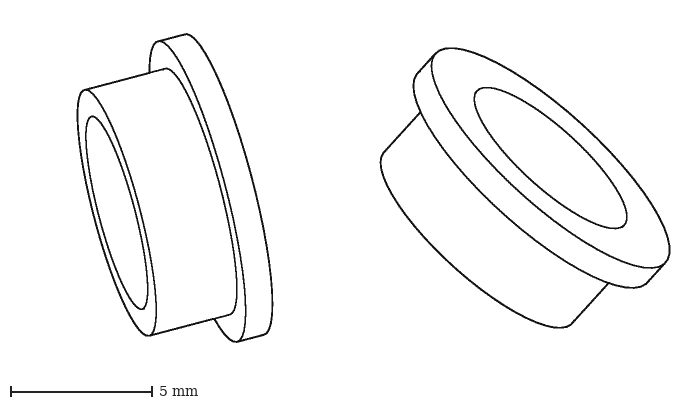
import cadquery as cq

flange_diameter = 11.0
sleeve_diameter = 9.0
bore_diameter = 7.05
total_length = 4.0
flange_thickness = 1.0
sleeve_length = total_length - flange_thickness


def cylinder_along_y(diameter, start_y, length):
    """Solid cylinder on the Y axis, running from start_y toward +Y."""
    base = cq.Workplane("XZ", origin=(0, start_y, 0))
    return base.circle(diameter / 2).extrude(-length)


sleeve = cylinder_along_y(sleeve_diameter, 0, sleeve_length)
flange = cylinder_along_y(flange_diameter, sleeve_length, flange_thickness)
bore = cylinder_along_y(bore_diameter, 0, total_length)

result = sleeve.union(flange).cut(bore)